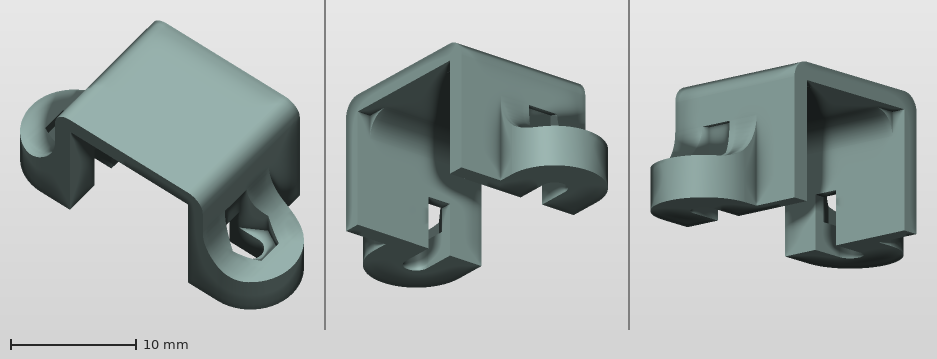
import cadquery as cq
import math

body_width = 15.0
body_depth = 12.5
body_height = 11.5
wall = 1.5
top_round = wall
inner_width = body_width - 2 * wall
inner_height = body_height - wall

gusset_radius = 2.0
square_length = 1.25

total_width = 26.5
foot_radius = 4.27
foot_height = 3.5
foot_fillet = 4.0
foot_x = total_width / 2 - foot_radius
foot_y = foot_radius - body_depth / 2
foot_fillet_top = foot_height + foot_fillet

slot_radius = 1.09
slot_height = 4.55
nut_across_flats = 3.95
nut_across_corners = nut_across_flats / math.cos(math.pi / 6)
nut_floor = 2.5


def make_body():
    """Rounded block, without its central opening."""
    block = cq.Workplane("XY").box(body_width, body_depth, body_height, centered=(True, True, False))
    return block.edges("|Y and >Z").fillet(top_round)


def make_opening():
    """Central opening through Y, with rounded upper corners between two square-cornered ends."""
    opening = cq.Workplane("XY").box(inner_width, body_depth, inner_height, centered=(True, True, False))
    opening = opening.edges("|Y and >Z").fillet(gusset_radius)
    end_y = (body_depth - square_length) / 2
    for y in (-end_y, end_y):
        square_end = (
            cq.Workplane("XY", origin=(0, y, 0))
            .rect(inner_width, square_length)
            .extrude(inner_height)
        )
        opening = opening.union(square_end)
    return opening


def make_foot(side):
    """Round-ended foot that sweeps up into the side wall; side is -1 or 1."""
    wall_x = side * body_width / 2
    inner_x = side * inner_width / 2
    bend_x = wall_x + side * foot_fillet
    bend_offset = foot_fillet * (1 - math.sqrt(0.5))
    profile = (
        cq.Workplane("XZ", origin=(0, body_depth / 2, 0))
        .moveTo(inner_x, 0)
        .lineTo(side * total_width / 2, 0)
        .lineTo(side * total_width / 2, foot_height)
        .lineTo(bend_x, foot_height)
        .threePointArc(
            (wall_x + side * bend_offset, foot_height + bend_offset),
            (wall_x, foot_fillet_top),
        )
        .lineTo(inner_x, foot_fillet_top)
        .close()
        .extrude(body_depth)
    )
    return profile.intersect(stadium(side, foot_radius, foot_fillet_top))


def stadium(side, radius, height):
    """Prism on Z = 0 reaching from the middle of the part to a round end at the foot centre."""
    bar = (
        cq.Workplane("XY")
        .center(side * foot_x / 2, foot_y)
        .rect(foot_x, 2 * radius)
        .extrude(height)
    )
    end = cq.Workplane("XY").center(side * foot_x, foot_y).circle(radius).extrude(height)
    return bar.union(end)


def make_nut_pocket(side):
    """Hexagonal pocket with corners pointing along Y, up to the top of the foot fillet."""
    return (
        cq.Workplane("XY", origin=(side * foot_x, foot_y, nut_floor))
        .transformed(rotate=(0, 0, 90))
        .polygon(6, nut_across_corners)
        .extrude(foot_fillet_top - nut_floor)
    )


result = make_body()
for side in (-1, 1):
    result = result.union(make_foot(side))
result = result.cut(make_opening())
for side in (-1, 1):
    result = result.cut(stadium(side, slot_radius, slot_height))
    result = result.cut(make_nut_pocket(side))